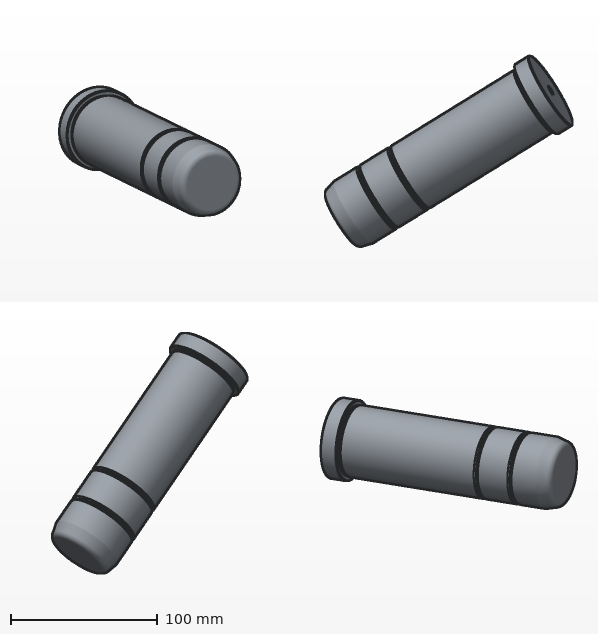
import cadquery as cq
import math

length = 170.0
head_diameter = 56.0
head_radius = head_diameter / 2
head_length = 11.9
head_chamfer = 0.5
shaft_radius = 25.0

relief_depth = 0.5
relief_end = 14.0
relief_slope_length = 0.5

groove_centers = (114.8, 139.9)
groove_width = 3.0
groove_depth = 0.5

taper_start = 159.8
taper_angle = 15.0
tip_radius = 4.0

hole_radius = 1.9
hole_depth = 6.0
countersink_radius = 3.4
countersink_angle = 60.0
drill_point_angle = 120.0


def make_pin():
    """Revolve the headed and tapered outline, then round the tip."""
    relief_radius = shaft_radius - relief_depth
    taper_drop = (length - taper_start) * math.tan(math.radians(taper_angle))
    outline = [
        (0, 0),
        (0, head_radius - head_chamfer),
        (head_chamfer, head_radius),
        (head_length - head_chamfer, head_radius),
        (head_length, head_radius - head_chamfer),
        (head_length, relief_radius),
        (relief_end - relief_slope_length, relief_radius),
        (relief_end, shaft_radius),
        (taper_start, shaft_radius),
        (length, shaft_radius - taper_drop),
        (length, 0),
    ]
    pin = cq.Workplane("XY").polyline(outline).close().revolve(360, (0, 0), (1, 0))
    return pin.faces(">X").edges().fillet(tip_radius)


def make_groove(center):
    """Ring with a triangular section, its point towards the axis."""
    half_width = groove_width / 2
    slope = groove_depth / half_width
    top_half_width = 2 * half_width
    top_radius = shaft_radius + slope * (top_half_width - half_width)
    section = [
        (center - top_half_width, top_radius),
        (center, shaft_radius - groove_depth),
        (center + top_half_width, top_radius),
    ]
    return cq.Workplane("XY").polyline(section).close().revolve(360, (0, 0), (1, 0))


def make_center_hole():
    """Countersunk blind hole ending in a drill point."""
    countersink_depth = (countersink_radius - hole_radius) / math.tan(math.radians(countersink_angle / 2))
    point_length = hole_radius / math.tan(math.radians(drill_point_angle / 2))
    section = [
        (0, 0),
        (0, countersink_radius),
        (countersink_depth, hole_radius),
        (hole_depth, hole_radius),
        (hole_depth + point_length, 0),
    ]
    return cq.Workplane("XY").polyline(section).close().revolve(360, (0, 0), (1, 0))


result = make_pin()
for groove_center in groove_centers:
    result = result.cut(make_groove(groove_center))
result = result.cut(make_center_hole())